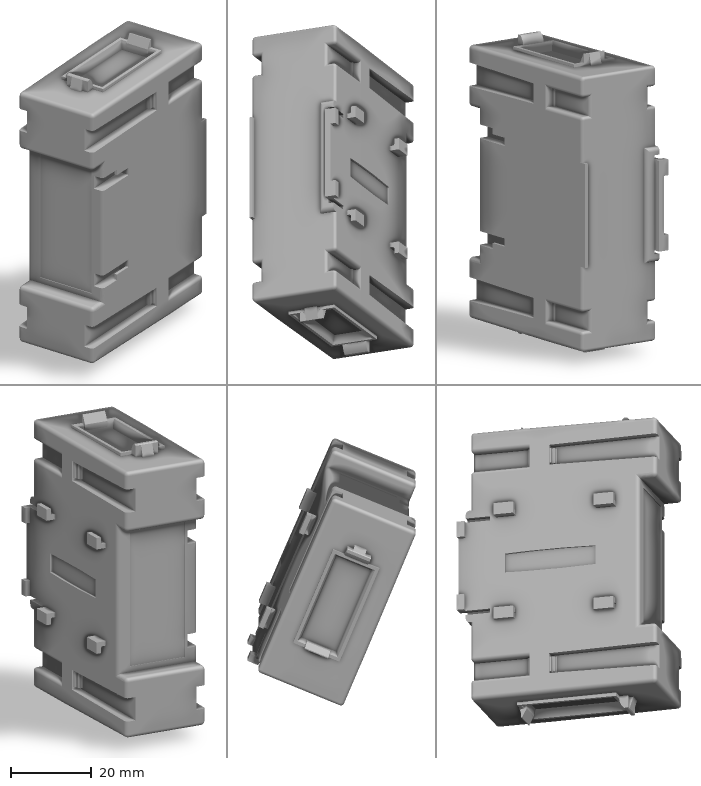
import cadquery as cq
import math


WIDTH = 22.95
HALF_HEIGHT = 34.95
PARTING_Y = 32.8
REAR_Y = 48.0
DRAFT_INSET = 0.2
EDGE_RADIUS = 1.0
REAR_RADIUS = 0.75

STEP_DEPTH = 4.4
STEP_HALF_HEIGHT = 19.15
WINDOW_X = (3.7, 19.3)
WINDOW_HALF_HEIGHT = 17.6
WINDOW_DEPTH = 0.2

SLOT_Z = 27.3
SLOT_LENGTH = 27.75
SLOT_HALF_WIDTH_FRONT = 3.05
SLOT_HALF_WIDTH_END = 2.6
SLOT_DEPTH_FRONT = 2.8
SLOT_DEPTH_END = 2.35
LATCH_STEPS = ((1.5, 1.7, 2.05), (1.2, 1.15, 2.0), (0.4, 0.5, 1.9))

REAR_SLOT_HALF_WIDTH = 3.35
REAR_SLOT_DEPTH = 2.4
REAR_SLOT_LIP = 0.8
REAR_SLOT_LEDGE = (0.9, 0.5)

HOOK_REACH = 2.4
HOOK_THICKNESS = 1.2
HOOK_ROOT_Z = 12.15
HOOK_TIP_Z = 15.1
HOOK_LENGTH = 5.1
HOOK_STARTS_Y = (10.4, 36.3)
HOOK_FILLET = 0.5
POCKET_Z = (11.8, 15.35)
POCKET_DEPTH = 3.0
POCKET_LIP_THICKNESS = 0.9
POCKET_LIP_Z = 13.8

GRIP_Y = (15.7, 39.15)
GRIP_HALF_HEIGHT_END = 2.4
GRIP_HALF_HEIGHT_MID = 2.65
GRIP_DEPTH = 0.7

FOOT_WIDTH = 4.0
FOOT_REAR_Y = 49.3
FOOT_HALF_HEIGHT = 14.6
FOOT_RADIUS = 1.1
PLATE_THICKNESS = 1.5
PLATE_REAR_Y = 51.2
PLATE_HALF_HEIGHT = 11.55
PLATE_GAP = 1.1
PLATE_GAP_START_Y = 43.0
TAB_REACH = 1.4
TAB_HEIGHT = 4.0
LOCATOR_THICKNESS = 0.9
LOCATOR_REAR_Y = 49.4
LOCATOR_HALF_HEIGHT = 13.2

FRAME_X = (5.2, 17.6)
FRAME_Y = (11.85, 37.55)
FRAME_TOP = 35.7
FRAME_WALL = 0.8
TRAY_FLOOR = 33.45
TRAY_DRAFT = 0.75
CLIP_TOP = 38.0
CLIP_X = (8.2, 14.5)
GUSSET_X = (9.7, 12.9)
CLIP_ROOT = 34.2
CLIP_TIP = 0.2
REAR_BLADE_THICKNESS = 1.6
REAR_BLADE_LEAN = 0.15
REAR_GUSSET_REACH = 1.0
FRONT_BLADE_THICKNESS = 2.3
FRONT_BLADE_OVERLAP = 0.15
FRONT_BLADE_CREST = 1.3
FRONT_BLADE_BULGE = (0.45, 37.0)
FRONT_GUSSET_REACH = 1.15


def block(x_range, y_range, z_range):
    """Box spanning the given ranges."""
    size = [high - low for low, high in (x_range, y_range, z_range)]
    corner = (x_range[0], y_range[0], z_range[0])
    return cq.Workplane("XY").box(*size, centered=False).translate(corner)


def rectangle_in_y(y, x_range, z_range):
    """Closed rectangular wire at depth y."""
    (x0, x1), (z0, z1) = x_range, z_range
    corners = [(x0, y, z0), (x1, y, z0), (x1, y, z1), (x0, y, z1)]
    return cq.Wire.makePolygon([cq.Vector(*corner) for corner in corners], close=True)


def rectangle_in_z(z, x_range, y_range):
    """Closed rectangular wire at height z."""
    (x0, x1), (y0, y1) = x_range, y_range
    corners = [(x0, y0, z), (x1, y0, z), (x1, y1, z), (x0, y1, z)]
    return cq.Wire.makePolygon([cq.Vector(*corner) for corner in corners], close=True)


def taper(first_wire, second_wire):
    """Solid with flat sides between two rectangles."""
    return cq.Workplane(obj=cq.Solid.makeLoft([first_wire, second_wire], True))


def with_mirror_z(shape):
    """The shape and its mirror image below mid height."""
    return shape.union(shape.mirror("XY"))


def with_mirror_x(shape):
    """The shape and its mirror image on the other side of the housing."""
    return shape.union(shape.mirror("YZ", (WIDTH / 2, 0, 0)))


def front_half():
    front = rectangle_in_y(
        0,
        (DRAFT_INSET, WIDTH - DRAFT_INSET),
        (DRAFT_INSET - HALF_HEIGHT, HALF_HEIGHT - DRAFT_INSET),
    )
    parting = rectangle_in_y(PARTING_Y, (0, WIDTH), (-HALF_HEIGHT, HALF_HEIGHT))
    step = block((0, WIDTH), (0, STEP_DEPTH), (-STEP_HALF_HEIGHT, STEP_HALF_HEIGHT))
    shell = taper(front, parting).cut(step)
    margin = 0.75
    inner_corners = cq.selectors.BoxSelector(
        (0, STEP_DEPTH - margin, -STEP_HALF_HEIGHT - margin),
        (WIDTH, STEP_DEPTH + margin, STEP_HALF_HEIGHT + margin),
    )
    kept_sharp = shell.edges(">Y").vals() + shell.edges("|X").edges(inner_corners).vals()
    outer_edges = [
        edge for edge in shell.edges().vals()
        if not any(edge.isSame(sharp) for sharp in kept_sharp)
    ]
    shell = shell.newObject(outer_edges).fillet(EDGE_RADIUS)
    window = block(
        WINDOW_X,
        (STEP_DEPTH, STEP_DEPTH + WINDOW_DEPTH),
        (-WINDOW_HALF_HEIGHT, WINDOW_HALF_HEIGHT),
    )
    return shell.cut(window)


def rear_half():
    shell = block((0, WIDTH), (PARTING_Y, REAR_Y), (-HALF_HEIGHT, HALF_HEIGHT))
    shell = shell.edges("|Y").fillet(EDGE_RADIUS)
    shell = shell.cut(with_mirror_z(with_mirror_x(rear_slot())))
    return shell.faces(">Y").edges().fillet(REAR_RADIUS)


def front_slot():
    """Tapering slot with the stepped latch left standing at its inner end."""
    outside = -0.75
    mouth = rectangle_in_y(
        0,
        (outside, SLOT_DEPTH_FRONT),
        (SLOT_Z - SLOT_HALF_WIDTH_FRONT, SLOT_Z + SLOT_HALF_WIDTH_FRONT),
    )
    end = rectangle_in_y(
        SLOT_LENGTH,
        (outside, SLOT_DEPTH_END),
        (SLOT_Z - SLOT_HALF_WIDTH_END, SLOT_Z + SLOT_HALF_WIDTH_END),
    )
    slot = taper(mouth, end)
    for length, outer_x, half_height in LATCH_STEPS:
        step = block(
            (outer_x, SLOT_DEPTH_FRONT),
            (SLOT_LENGTH - length, SLOT_LENGTH),
            (SLOT_Z - half_height, SLOT_Z + half_height),
        )
        slot = slot.cut(step)
    return slot


def rear_slot():
    """Slot with rounded lips and a low ledge on its floor at the closed end."""
    lip = REAR_SLOT_LIP
    half = REAR_SLOT_HALF_WIDTH
    floor_half = half - lip
    arc_x = lip * (1 - math.cos(math.pi / 4))
    arc_z = half - lip * math.sin(math.pi / 4)
    slot = (
        cq.Workplane("XZ", origin=(0, REAR_Y, SLOT_Z))
        .moveTo(0, half)
        .threePointArc((arc_x, arc_z), (lip, floor_half))
        .lineTo(REAR_SLOT_DEPTH, floor_half)
        .lineTo(REAR_SLOT_DEPTH, -floor_half)
        .lineTo(lip, -floor_half)
        .threePointArc((arc_x, -arc_z), (0, -half))
        .close()
        .extrude(REAR_Y - PARTING_Y)
    )
    ledge_length, ledge_thickness = REAR_SLOT_LEDGE
    ledge = block(
        (REAR_SLOT_DEPTH - ledge_thickness, REAR_SLOT_DEPTH),
        (PARTING_Y, PARTING_Y + ledge_length),
        (SLOT_Z - floor_half, SLOT_Z + floor_half),
    )
    return slot.cut(ledge)


def grip_recess():
    start_y, end_y = GRIP_Y
    middle_y = (start_y + end_y) / 2
    return (
        cq.Workplane("YZ")
        .moveTo(start_y, -GRIP_HALF_HEIGHT_END)
        .threePointArc((middle_y, -GRIP_HALF_HEIGHT_MID), (end_y, -GRIP_HALF_HEIGHT_END))
        .lineTo(end_y, GRIP_HALF_HEIGHT_END)
        .threePointArc((middle_y, GRIP_HALF_HEIGHT_MID), (start_y, GRIP_HALF_HEIGHT_END))
        .close()
        .extrude(GRIP_DEPTH)
    )


def hook(start_y):
    """L-shaped hook whose tip points away from mid height."""
    arm_top = HOOK_ROOT_Z + HOOK_THICKNESS
    buried = 0.75
    outline = [
        (buried, HOOK_ROOT_Z),
        (-HOOK_REACH, HOOK_ROOT_Z),
        (-HOOK_REACH, HOOK_TIP_Z),
        (HOOK_THICKNESS - HOOK_REACH, HOOK_TIP_Z),
        (HOOK_THICKNESS - HOOK_REACH, arm_top),
        (buried, arm_top),
    ]
    shape = (
        cq.Workplane("XZ", origin=(0, start_y + HOOK_LENGTH, 0))
        .polyline(outline)
        .close()
        .extrude(HOOK_LENGTH)
    )
    inner_corner = cq.selectors.NearestToPointSelector(
        (HOOK_THICKNESS - HOOK_REACH, start_y + HOOK_LENGTH / 2, arm_top)
    )
    return shape.edges("|Y").edges(inner_corner).fillet(HOOK_FILLET)


def hook_pocket():
    """Pocket open to the front, with a retaining lip where the hook comes to rest."""
    rest_y = HOOK_STARTS_Y[0]
    pocket_y = (0, rest_y + HOOK_LENGTH)
    pocket = block((WIDTH - POCKET_DEPTH, WIDTH), pocket_y, POCKET_Z)
    lip = block(
        (WIDTH - POCKET_LIP_THICKNESS, WIDTH),
        (rest_y, rest_y + HOOK_LENGTH),
        (POCKET_LIP_Z, POCKET_Z[1]),
    )
    return pocket.cut(lip)


def mounting_foot():
    foot = (
        block((0, FOOT_WIDTH), (REAR_Y - EDGE_RADIUS, FOOT_REAR_Y), (-FOOT_HALF_HEIGHT, FOOT_HALF_HEIGHT))
        .faces(">Y")
        .edges("not <X")
        .fillet(FOOT_RADIUS)
    )
    plate = block(
        (0, PLATE_THICKNESS),
        (PLATE_GAP_START_Y, PLATE_REAR_Y),
        (-PLATE_HALF_HEIGHT, PLATE_HALF_HEIGHT),
    )
    tab = block(
        (-TAB_REACH, PLATE_THICKNESS),
        (FOOT_REAR_Y, PLATE_REAR_Y),
        (PLATE_HALF_HEIGHT - TAB_HEIGHT, PLATE_HALF_HEIGHT),
    )
    return foot.union(plate).union(with_mirror_z(tab))


def plate_gap():
    """Gap beside the spring plate."""
    return block(
        (0, PLATE_THICKNESS),
        (PLATE_GAP_START_Y, FOOT_REAR_Y),
        (PLATE_HALF_HEIGHT, PLATE_HALF_HEIGHT + PLATE_GAP),
    )


def locator():
    return block(
        (WIDTH - LOCATOR_THICKNESS, WIDTH),
        (REAR_Y - EDGE_RADIUS, LOCATOR_REAR_Y),
        (-LOCATOR_HALF_HEIGHT, LOCATOR_HALF_HEIGHT),
    )


def extrude_profile(profile, x_range):
    """Extrude a Y-Z profile across an X range."""
    return profile.extrude(x_range[1] - x_range[0]).translate((x_range[0], 0, 0))


def rear_clip():
    """Clip with a sloping inner face and a narrow gusset behind it."""
    back_y = FRAME_Y[1]
    peak_y = back_y - REAR_BLADE_LEAN
    inner_y = back_y - REAR_BLADE_THICKNESS
    blade = (
        cq.Workplane("YZ")
        .polyline([
            (back_y, CLIP_ROOT),
            (peak_y, CLIP_TOP),
            (peak_y - CLIP_TIP, CLIP_TOP),
            (inner_y, FRAME_TOP),
            (inner_y, CLIP_ROOT),
        ])
        .close()
    )
    gusset = (
        cq.Workplane("YZ")
        .polyline([(inner_y, CLIP_ROOT), (back_y + REAR_GUSSET_REACH, CLIP_ROOT), (peak_y, CLIP_TOP)])
        .close()
    )
    return extrude_profile(blade, CLIP_X).union(extrude_profile(gusset, GUSSET_X))


def front_clip():
    """Clip with a rounded inner face and a narrow gusset in front of it."""
    inner_y = FRAME_Y[0] + FRONT_BLADE_OVERLAP
    outer_y = inner_y - FRONT_BLADE_THICKNESS
    bulge_y, bulge_z = FRONT_BLADE_BULGE
    blade = (
        cq.Workplane("YZ")
        .moveTo(inner_y, CLIP_ROOT)
        .lineTo(inner_y, FRAME_TOP)
        .threePointArc((inner_y - bulge_y, bulge_z), (inner_y - FRONT_BLADE_CREST, CLIP_TOP))
        .lineTo(outer_y + CLIP_TIP, CLIP_TOP)
        .lineTo(outer_y, CLIP_TOP - CLIP_TIP)
        .lineTo(outer_y, CLIP_ROOT)
        .close()
    )
    gusset = (
        cq.Workplane("YZ")
        .polyline([
            (inner_y, CLIP_ROOT),
            (outer_y - FRONT_GUSSET_REACH, CLIP_ROOT),
            (outer_y, CLIP_TOP - CLIP_TIP),
        ])
        .close()
    )
    return extrude_profile(blade, CLIP_X).union(extrude_profile(gusset, GUSSET_X))


def label_frame():
    return block(FRAME_X, FRAME_Y, (TRAY_FLOOR, FRAME_TOP))


def label_tray():
    """Recess inside the label frame, with sloping walls."""
    def inset(span, amount):
        return (span[0] + amount, span[1] - amount)

    rim = rectangle_in_z(FRAME_TOP, inset(FRAME_X, FRAME_WALL), inset(FRAME_Y, FRAME_WALL))
    floor_inset = FRAME_WALL + TRAY_DRAFT
    floor = rectangle_in_z(TRAY_FLOOR, inset(FRAME_X, floor_inset), inset(FRAME_Y, floor_inset))
    return taper(floor, rim)


result = front_half().union(rear_half())
result = result.union(mounting_foot()).union(locator())
result = result.union(with_mirror_z(label_frame()))

for cutter in (with_mirror_x(front_slot()), plate_gap(), label_tray(), hook_pocket()):
    result = result.cut(with_mirror_z(cutter))
result = result.cut(grip_recess())

for start in HOOK_STARTS_Y:
    result = result.union(with_mirror_z(hook(start)))
for clip in (rear_clip(), front_clip()):
    result = result.union(with_mirror_z(clip))